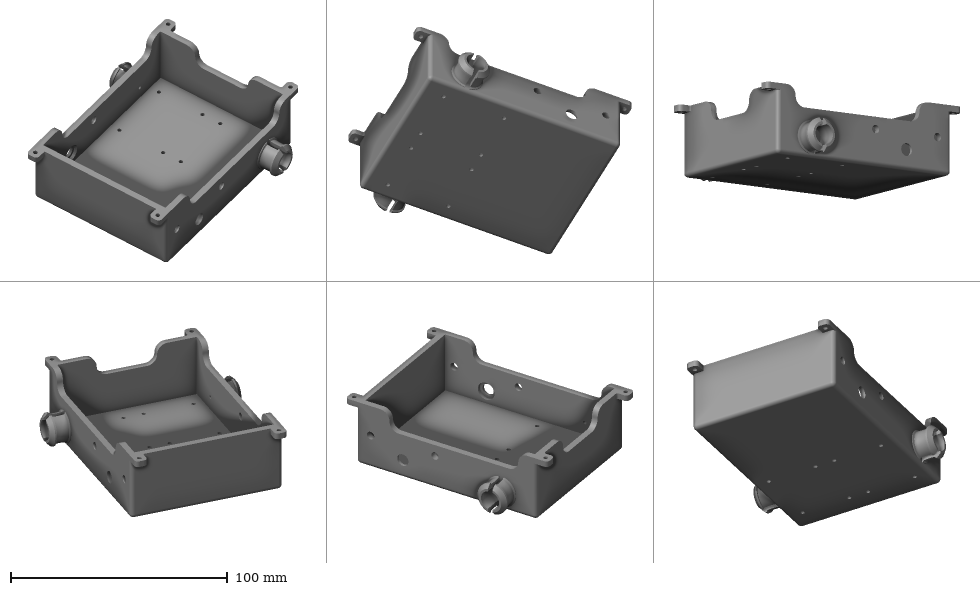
import cadquery as cq
import math

BOX_WIDTH = 76.1
BOX_LENGTH = 98.2
BOX_HEIGHT = 33.0
WALL = 3.1
FLOOR = 3.0
EDGE_RADIUS = 2.0

OVERALL_LENGTH = 110.0
LUG_WIDTH = 2 * WALL
LUG_THICKNESS = 3.0
LUG_RADIUS = 2.0
LUG_HOLE_DIAMETER = 2.2
LUG_HOLE_TO_END = 3.0
LUG_ROOT_RADIUS = 1.0

SCALLOP_DEPTH = 10.0
SCALLOP_RADIUS = SCALLOP_DEPTH / 2
SIDE_SCALLOP_WIDTH = 80.0
SIDE_SCALLOP_Y = 4.0
REAR_SCALLOP_WIDTH = 40.3

FLOOR_HOLE_DIAMETER = 2.0
FLOOR_HOLE_XS = (5.1, 30.0)
FLOOR_HOLE_YS = (7.0, 38.0)

SMALL_HOLE_DIAMETER = 4.0
LARGE_HOLE_DIAMETER = 6.0
LARGE_HOLE_RECESS_DIAMETER = 9.0
LARGE_HOLE_RECESS_DEPTH = 1.6
LARGE_HOLE_Y = -23.8
HOLE_SPACING_Y = 17.5
SMALL_HOLE_Z = 17.2
LARGE_HOLE_Z = 9.5

OVERALL_WIDTH = 96.0
SPIGOT_Y = 29.8
SPIGOT_Z = LARGE_HOLE_Z
SPIGOT_LENGTH = (OVERALL_WIDTH - BOX_WIDTH) / 2
BARB_RADIUS = 8.0
TIP_RADIUS = 6.0
BARB_TAPER_LENGTH = 2.0
BARB_LAND_LENGTH = 0.9
NECK_RADIUS = 7.3
WAIST_RADIUS = 7.0
FOOT_LENGTH = 0.3
FLARE_LENGTH = 0.4
BORE_DIAMETER = 9.8
SLOT_WIDTH = 2.5
SLOT_CHAMFER = 0.5
VENT_DIAMETER = 1.8

HALF_WIDTH = BOX_WIDTH / 2
HALF_LENGTH = BOX_LENGTH / 2
RIM = BOX_HEIGHT


def shell():
    """Open box with rounded outer edges."""
    outer = (
        cq.Workplane("XY")
        .box(BOX_WIDTH, BOX_LENGTH, BOX_HEIGHT, centered=(True, True, False))
        .edges("|Z or <Z")
        .fillet(EDGE_RADIUS)
    )
    cavity = (
        cq.Workplane("XY")
        .workplane(offset=FLOOR)
        .rect(BOX_WIDTH - 2 * WALL, BOX_LENGTH - 2 * WALL)
        .extrude(BOX_HEIGHT)
    )
    return outer.cut(cavity)


def lug(end):
    """Lug at the rim of the +X side wall; end is 1 for the rear and -1 for the front."""
    inner_y = HALF_LENGTH - WALL
    tongue_length = OVERALL_LENGTH / 2 - inner_y
    center_y = end * (inner_y + tongue_length / 2)
    tip = ">Y" if end > 0 else "<Y"
    tongue = (
        cq.Workplane("XY", origin=(HALF_WIDTH - LUG_WIDTH / 2, center_y, RIM - LUG_THICKNESS))
        .box(LUG_WIDTH, tongue_length, LUG_THICKNESS, centered=(True, True, False))
        .faces(tip)
        .edges("|Z")
        .fillet(LUG_RADIUS)
    )
    cavity = (
        cq.Workplane("XY")
        .rect(BOX_WIDTH - 2 * WALL, BOX_LENGTH - 2 * WALL)
        .extrude(BOX_HEIGHT)
    )
    return tongue.cut(cavity)


def lug_root():
    """Concave fillet between a rear lug and the rear wall."""
    corner_x = HALF_WIDTH - LUG_WIDTH
    mid = LUG_ROOT_RADIUS * (1 - math.sqrt(0.5))
    return (
        cq.Workplane("XY", origin=(corner_x, HALF_LENGTH, RIM - LUG_THICKNESS))
        .lineTo(-LUG_ROOT_RADIUS, 0)
        .threePointArc((-mid, mid), (0, LUG_ROOT_RADIUS))
        .close()
        .extrude(LUG_THICKNESS)
    )


def lug_holes():
    hole_y = OVERALL_LENGTH / 2 - LUG_HOLE_TO_END
    hole_x = HALF_WIDTH - LUG_WIDTH / 2
    return (
        cq.Workplane("XY", origin=(0, 0, RIM - LUG_THICKNESS))
        .pushPoints([(hole_x, hole_y), (hole_x, -hole_y)])
        .circle(LUG_HOLE_DIAMETER / 2)
        .extrude(LUG_THICKNESS)
    )


def scallop(plane, width):
    """Rim cut-out with S-shaped ends, drawn in a vertical plane whose origin is on the rim."""
    r = SCALLOP_RADIUS
    half = width / 2
    return (
        cq.Workplane(plane)
        .moveTo(-half, 0)
        .radiusArc((-half + r, -r), r)
        .radiusArc((-half + 2 * r, -2 * r), -r)
        .lineTo(half - 2 * r, -2 * r)
        .radiusArc((half - r, -r), -r)
        .radiusArc((half, 0), r)
        .close()
    )


def side_scallop():
    plane = cq.Plane(origin=(HALF_WIDTH - WALL, SIDE_SCALLOP_Y, RIM), xDir=(0, 1, 0), normal=(1, 0, 0))
    return scallop(plane, SIDE_SCALLOP_WIDTH).extrude(WALL)


def rear_scallop():
    plane = cq.Plane(origin=(0, HALF_LENGTH, RIM), xDir=(1, 0, 0), normal=(0, -1, 0))
    return scallop(plane, REAR_SCALLOP_WIDTH).extrude(WALL)


def floor_holes():
    points = [(x, y) for x in FLOOR_HOLE_XS for y in FLOOR_HOLE_YS]
    return cq.Workplane("XY").pushPoints(points).circle(FLOOR_HOLE_DIAMETER / 2).extrude(FLOOR)


def side_hole(y, z, diameter, depth=WALL):
    """Round hole in the +X side wall, measured in depth from its inner face."""
    return (
        cq.Workplane("YZ", origin=(HALF_WIDTH - WALL, y, z))
        .circle(diameter / 2)
        .extrude(depth)
    )


def side_holes():
    large = side_hole(LARGE_HOLE_Y, LARGE_HOLE_Z, LARGE_HOLE_DIAMETER)
    recess = side_hole(
        LARGE_HOLE_Y, LARGE_HOLE_Z, LARGE_HOLE_RECESS_DIAMETER, LARGE_HOLE_RECESS_DEPTH
    )
    front = side_hole(LARGE_HOLE_Y - HOLE_SPACING_Y, SMALL_HOLE_Z, SMALL_HOLE_DIAMETER)
    middle = side_hole(LARGE_HOLE_Y + HOLE_SPACING_Y, SMALL_HOLE_Z, SMALL_HOLE_DIAMETER)
    vent = side_hole(SPIGOT_Y, SPIGOT_Z, VENT_DIAMETER)
    return large.union(recess).union(front).union(middle).union(vent)


def spigot():
    """Hollow barbed spigot on the +X side wall, slotted above and below its axis."""
    neck_start = FOOT_LENGTH + FLARE_LENGTH
    land_start = SPIGOT_LENGTH - BARB_TAPER_LENGTH - BARB_LAND_LENGTH
    land_end = SPIGOT_LENGTH - BARB_TAPER_LENGTH
    tube = (
        cq.Workplane("XY", origin=(HALF_WIDTH, SPIGOT_Y, SPIGOT_Z))
        .moveTo(0, BORE_DIAMETER / 2)
        .lineTo(0, BARB_RADIUS)
        .lineTo(FOOT_LENGTH, BARB_RADIUS)
        .lineTo(neck_start, NECK_RADIUS)
        .threePointArc(((neck_start + land_start) / 2, WAIST_RADIUS), (land_start, NECK_RADIUS))
        .lineTo(land_start, BARB_RADIUS)
        .lineTo(land_end, BARB_RADIUS)
        .lineTo(SPIGOT_LENGTH, TIP_RADIUS)
        .lineTo(SPIGOT_LENGTH, BORE_DIAMETER / 2)
        .close()
        .revolve(360, (0, 0, 0), (1, 0, 0))
    )
    slot = (
        cq.Workplane("XY", origin=(HALF_WIDTH, SPIGOT_Y, SPIGOT_Z))
        .box(SPIGOT_LENGTH, SLOT_WIDTH, 2 * BARB_RADIUS, centered=(False, True, True))
    )
    return tube.cut(slot).union(slot_root(1)).union(slot_root(-1))


def slot_root(side):
    """Sloped root along one side of the upper slot; side is 1 for +Y and -1 for -Y."""
    edge_y = SPIGOT_Y + side * SLOT_WIDTH / 2
    bottom = BORE_DIAMETER / 2
    return (
        cq.Workplane("XY", origin=(HALF_WIDTH, edge_y, SPIGOT_Z + bottom))
        .lineTo(SLOT_CHAMFER, 0)
        .lineTo(0, -side * SLOT_CHAMFER)
        .close()
        .extrude(BARB_RADIUS - bottom)
    )


def right_half_housing():
    """Housing half on the +X side of the parting plane X = 0."""
    half_space = (
        cq.Workplane("XY")
        .box(BOX_WIDTH, BOX_LENGTH, BOX_HEIGHT, centered=(False, True, False))
    )
    body = shell().intersect(half_space)
    body = body.union(lug(1)).union(lug(-1)).union(lug_root())
    body = body.cut(side_scallop()).cut(rear_scallop())
    body = body.cut(lug_holes()).cut(floor_holes()).cut(side_holes())
    return body.union(spigot())


right_half = right_half_housing()
left_half = right_half.mirror("YZ")

result = cq.Compound.makeCompound([*right_half.solids().vals(), *left_half.solids().vals()])